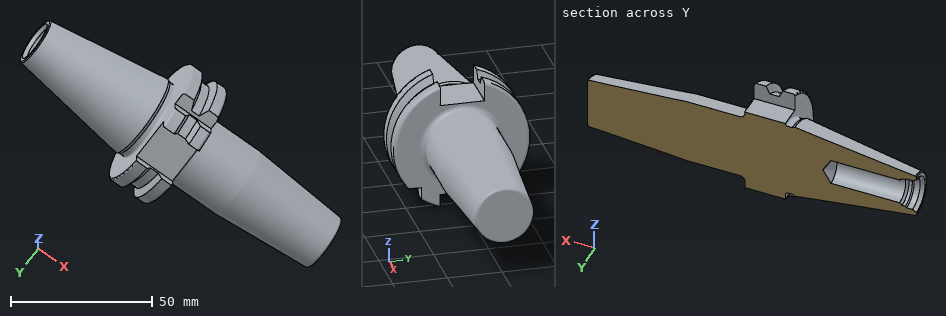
import cadquery as cq
import math

total_length = 127.6
gauge_x = 47.1
flange_start = 50.8
flange_width = 15.8
flange_end = flange_start + flange_width
nose_cone_start = 89.2

gauge_radius = 16.0
taper_ratio = 7 / 24
small_end_radius = gauge_radius - gauge_x * taper_ratio / 2
small_end_chamfer = 0.4
relief_radius = 15.5
relief_start = 48.1
relief_fillet = 0.9

flange_radius = 24.95
flange_front_round = 0.8
flange_back_round = 1.1
groove_radius = 22.1
groove_center = flange_start + flange_width / 2
groove_floor_width = 3.5
groove_mouth_width = 6.5

nose_radius = 13.7
nose_fillet = 2.0
nose_end_radius = 10.7
nose_end_round = 1.0

slot_width = 16.1
top_slot_floor = 16.4
bottom_slot_floor = 18.5
notch_offset = 14.9

mouth_radius = 7.4
mouth_depth = 1.5
pilot_radius = 6.5
pilot_depth = 3.8
step_radius = 6.0
step_depth = 5.6
bore_radius = 5.1
bore_depth = 33.2
bore_half_angle = 59


def arc_middle(center_x, center_r, radius, angle):
    """Return the point on an arc at the given angle in degrees."""
    direction = math.radians(angle)
    return (center_x + radius * math.cos(direction), center_r + radius * math.sin(direction))


def shank():
    """Taper with the filleted collar that joins it to the flange."""
    root_arc = arc_middle(flange_start - relief_fillet, relief_radius + relief_fillet, relief_fillet, -45)
    return (
        cq.Workplane("XY")
        .moveTo(0, 0)
        .lineTo(0, small_end_radius - small_end_chamfer)
        .lineTo(small_end_chamfer, small_end_radius + small_end_chamfer * taper_ratio / 2)
        .lineTo(gauge_x, gauge_radius)
        .lineTo(relief_start, relief_radius)
        .lineTo(flange_start - relief_fillet, relief_radius)
        .threePointArc(root_arc, (flange_start, relief_radius + relief_fillet))
        .lineTo(flange_start, 0)
        .close()
        .revolve(360, (0, 0, 0), (1, 0, 0))
    )


def flange():
    """Disc with rounded rims and a V-groove around it."""
    front = flange_front_round
    back = flange_back_round
    front_arc = arc_middle(flange_start + front, flange_radius - front, front, 135)
    back_arc = arc_middle(flange_end - back, flange_radius - back, back, 45)
    return (
        cq.Workplane("XY")
        .moveTo(flange_start, 0)
        .lineTo(flange_start, flange_radius - front)
        .threePointArc(front_arc, (flange_start + front, flange_radius))
        .lineTo(groove_center - groove_mouth_width / 2, flange_radius)
        .lineTo(groove_center - groove_floor_width / 2, groove_radius)
        .lineTo(groove_center + groove_floor_width / 2, groove_radius)
        .lineTo(groove_center + groove_mouth_width / 2, flange_radius)
        .lineTo(flange_end - back, flange_radius)
        .threePointArc(back_arc, (flange_end, flange_radius - back))
        .lineTo(flange_end, 0)
        .close()
        .revolve(360, (0, 0, 0), (1, 0, 0))
    )


def nose():
    """Cylinder and cone with a root fillet and a rounded end."""
    root_arc = arc_middle(flange_end + nose_fillet, nose_radius + nose_fillet, nose_fillet, 225)
    return (
        cq.Workplane("XY")
        .moveTo(flange_end, 0)
        .lineTo(flange_end, nose_radius + nose_fillet)
        .threePointArc(root_arc, (flange_end + nose_fillet, nose_radius))
        .lineTo(nose_cone_start, nose_radius)
        .lineTo(total_length, nose_end_radius)
        .lineTo(total_length, 0)
        .close()
        .revolve(360, (0, 0, 0), (1, 0, 0))
        .faces(">X")
        .edges()
        .fillet(nose_end_round)
    )


def flange_cutters():
    """Two drive slots and one corner notch across the flange width."""
    reach = flange_radius
    top_slot = cq.Workplane("XY").box(flange_width, slot_width, reach, centered=(False, True, False))
    bottom_slot = top_slot.translate((flange_start, 0, -bottom_slot_floor - reach))
    top_slot = top_slot.translate((flange_start, 0, top_slot_floor))
    notch = (
        cq.Workplane("XY")
        .box(flange_width, reach, reach, centered=False)
        .translate((flange_start, -notch_offset - reach, -notch_offset - reach))
    )
    return top_slot.union(bottom_slot).union(notch)


def end_hole():
    """Countersunk pilot, short step and bore with a conical bottom."""
    step_start = pilot_depth + pilot_radius - step_radius
    bore_start = step_depth + step_radius - bore_radius
    bore_tip = bore_depth + bore_radius / math.tan(math.radians(bore_half_angle))
    return (
        cq.Workplane("XY")
        .moveTo(0, 0)
        .lineTo(0, mouth_radius)
        .lineTo(mouth_depth, pilot_radius)
        .lineTo(pilot_depth, pilot_radius)
        .lineTo(step_start, step_radius)
        .lineTo(step_depth, step_radius)
        .lineTo(bore_start, bore_radius)
        .lineTo(bore_depth, bore_radius)
        .lineTo(bore_tip, 0)
        .close()
        .revolve(360, (0, 0, 0), (1, 0, 0))
    )


body = shank().union(flange()).union(nose())
result = body.cut(flange_cutters()).cut(end_hole())